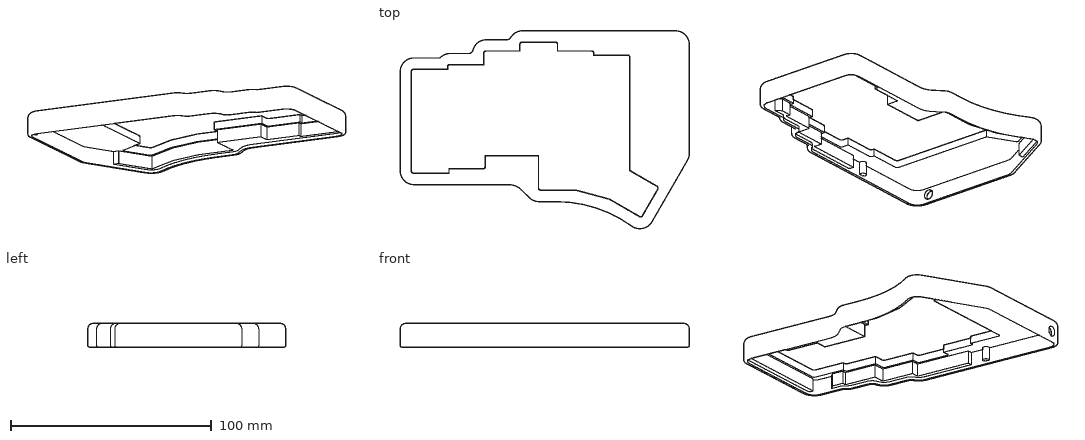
import cadquery as cq
import math

length = 144.0
height = 12.0
back_y = 76.7
thumb_wall_y = -8.45
tip_y = -21.92

corner_radius = 7.0
column_pitch = 18.0
back_wall_levels = [63.2, 65.4, 72.25, back_y]
step_foot_radii = [0.5, 2.0, 2.0]
front_bend_start_x = 54.1
front_bend_radius = 9.0
thumb_wall_start_x = 69.2
thumb_curve_start_x = 77.8
thumb_curve_radius = 63.75
thumb_side_angle = 60.0
top_edge_radius = 3.0
bottom_edge_radius = 1.0

plate_thickness = 4.0
key_margin = 0.25
first_column_x = 6.0
opening_corner_radius = 1.0
opening_chamfer = 0.2
opening_back_levels = [57.4, 59.7, 66.5, 70.9, 66.5, 64.4]
opening_front_levels = [5.85, 8.0, 14.5]
thumb_keys_x = 69.0
thumb_keys_y = -2.55
thumb_fan_angle = 15.0
thumb_fan_start_x = 87.4
thumb_fan_length = 17.4
thumb_side_rim = 5.75
thumb_key_depth = 17.2

cavity_clearance = 1.2
base_recess_depth = 1.5
outer_wall = 2.0
controller_bay_x = 89.4
controller_bay_front_y = -0.8
post_diameter = 3.5
post_x = 99.0
post_y = 73.8
corner_pocket_x = 16.35

jack_diameter = 5.0
jack_y = back_y - 10.1
jack_z = 4.4


def polar(center, radius, degrees):
    """Point on a circle, with the angle measured from +X."""
    angle = math.radians(degrees)
    return (center[0] + radius * math.cos(angle), center[1] + radius * math.sin(angle))


def arc_on(sketch, center, radius, start, end):
    """Extend the outline along a circle whose start angle is at the current point."""
    middle = polar(center, radius, (start + end) / 2)
    return sketch.threePointArc(middle, polar(center, radius, end))


def line_and_arc(sketch, center, radius, start, end):
    """Extend the outline straight to a circle, then along it."""
    return arc_on(sketch.lineTo(*polar(center, radius, start)), center, radius, start, end)


def back_step(sketch, index):
    """S-shaped step between two neighbouring levels of the back wall."""
    low, high = back_wall_levels[index], back_wall_levels[index + 1]
    foot = step_foot_radii[index]
    sweep = math.degrees(math.acos(1 - (high - low) / (foot + corner_radius)))
    crest_center = ((index + 1) * column_pitch + corner_radius, high - corner_radius)
    run = (foot + corner_radius) * math.sin(math.radians(sweep))
    foot_center = (crest_center[0] - run, low + foot)
    sketch = line_and_arc(sketch, foot_center, foot, -90, sweep - 90)
    return arc_on(sketch, crest_center, corner_radius, 90 + sweep, 90)


def thumb_tip_center():
    """Centre of the thumb tip, whose circle touches the hollow thumb curve."""
    rise = tip_y + corner_radius - (thumb_wall_y - thumb_curve_radius)
    run = math.sqrt((thumb_curve_radius + corner_radius) ** 2 - rise**2)
    return (thumb_curve_start_x + run, tip_y + corner_radius)


tip_center = thumb_tip_center()
side_normal = thumb_side_angle - 90


def outer_outline():
    r = corner_radius
    sketch = cq.Workplane("XY").moveTo(0, r)
    sketch = line_and_arc(sketch, (r, back_wall_levels[0] - r), r, 180, 90)
    for index in range(len(step_foot_radii)):
        sketch = back_step(sketch, index)
    sketch = line_and_arc(sketch, (length - r, back_y - r), r, 90, 0)

    tip_end = polar(tip_center, r, side_normal)
    reach = length - r + r * math.cos(math.radians(side_normal)) - tip_end[0]
    bend_y = tip_end[1] + reach * math.tan(math.radians(thumb_side_angle))
    bend_center = (length - r, bend_y - r * math.sin(math.radians(side_normal)))
    sketch = line_and_arc(sketch, bend_center, r, 0, side_normal)

    curve_center = (thumb_curve_start_x, thumb_wall_y - thumb_curve_radius)
    rise = tip_center[1] - curve_center[1]
    touch = math.degrees(math.asin(rise / (thumb_curve_radius + r)))
    sketch = line_and_arc(sketch, tip_center, r, side_normal, touch - 180)
    sketch = arc_on(sketch, curve_center, thumb_curve_radius, touch, 90)

    sketch = line_and_arc(sketch, (thumb_wall_start_x, thumb_wall_y + r), r, -90, -135)
    bend = (front_bend_start_x, -front_bend_radius)
    sketch = line_and_arc(sketch, bend, front_bend_radius, 45, 90)
    sketch = line_and_arc(sketch, (r, r), r, -90, -180)
    return sketch.close()


def opening_points():
    """Corners of the key opening; True marks the rounded ones."""
    left = [first_column_x + column_pitch * i - key_margin for i in range(4)]
    right = [first_column_x + column_pitch * i + key_margin for i in range(7)]
    back, front = opening_back_levels, opening_front_levels
    points = [(left[0], front[0], True), (left[0], back[0], True)]
    for i in range(1, 4):
        points += [(left[i], back[i - 1], False), (left[i], back[i], True)]
    for i in range(4, 6):
        points += [(right[i], back[i - 1], True), (right[i], back[i], False)]
    points.append((right[6], back[5], True))

    slope = math.radians(thumb_fan_angle)
    fan = (
        thumb_fan_start_x + thumb_fan_length * math.cos(slope),
        thumb_keys_y - thumb_fan_length * math.sin(slope),
    )
    side = polar(tip_center, corner_radius - thumb_side_rim, side_normal)
    along = (math.cos(math.radians(side_normal)), math.sin(math.radians(side_normal)))
    reach = (side[0] - fan[0]) * along[0] + (side[1] - fan[1]) * along[1]
    tip = (fan[0] + reach * along[0], fan[1] + reach * along[1])
    top = polar(tip, thumb_key_depth, thumb_side_angle)
    inner_run = top[0] - right[6]
    inner = (right[6], top[1] - inner_run * along[1] / along[0])
    points += [(*inner, False), (*top, True), (*tip, True), (*fan, False)]
    points += [(thumb_fan_start_x, thumb_keys_y, False), (thumb_keys_x, thumb_keys_y, True)]
    points += [(thumb_keys_x, front[2], False), (right[2], front[2], False)]
    points += [(right[2], front[1], True), (right[1], front[1], False), (right[1], front[0], False)]
    return points


def key_opening(bottom, top, growth=0.0):
    points = opening_points()
    outline = cq.Workplane("XY", origin=(0, 0, bottom)).polyline([p[:2] for p in points]).close()
    if growth:
        return outline.offset2D(growth, "intersection").extrude(top - bottom)
    block = outline.extrude(top - bottom)
    for x, y, rounded in points:
        if rounded:
            near = cq.selectors.BoxSelector((x - 0.1, y - 0.1, bottom - 1), (x + 0.1, y + 0.1, top + 1))
            block = block.edges("|Z").edges(near).fillet(opening_corner_radius)
    return block


plate_bottom = height - plate_thickness


def shell():
    """Solid block with rounded top and bottom outer edges."""
    block = outer_outline().extrude(height)
    block = block.faces(">Z").edges().fillet(top_edge_radius)
    return block.faces("<Z").edges().fillet(bottom_edge_radius)


def with_key_opening(block):
    """Open the plate over the keys and break the opening's top edge."""
    block = block.cut(key_opening(plate_bottom, height))
    rim = block.faces(">Z").val().innerWires()[0]
    return block.newObject(rim.Edges()).chamfer(opening_chamfer)


def inside_walls(top):
    """Space inside the outer walls, from the base up to the given height."""
    return outer_outline().offset2D(-outer_wall).extrude(top)


def base_recess():
    """Shallow recess that seats a base plate."""
    return inside_walls(base_recess_depth)


def rear_extension():
    """Carries the back of the fourth key column's cavity on to the controller bay."""
    front = opening_back_levels[-1]
    back = opening_back_levels[3] + cavity_clearance
    start = first_column_x + 3 * column_pitch
    block = cq.Workplane("XY").box(controller_bay_x - start, back - front, plate_bottom, centered=False)
    return block.translate((start, front, 0))


def controller_bay():
    """Deep bay under the solid right part of the plate, with a round post at the back."""
    width, depth = length - controller_bay_x, back_y - controller_bay_front_y
    block = cq.Workplane("XY").box(width, depth, plate_bottom, centered=False)
    block = block.translate((controller_bay_x, controller_bay_front_y, 0))
    post = cq.Workplane("XY", origin=(post_x, post_y, base_recess_depth))
    post = post.circle(post_diameter / 2).extrude(plate_bottom - base_recess_depth)
    return block.intersect(inside_walls(plate_bottom)).cut(post)


def corner_pocket():
    """Extra room in the rear left corner, ending in a 45 degree face."""
    front = opening_back_levels[0] + cavity_clearance
    depth = back_wall_levels[0] - front
    corners = [
        (0, front),
        (corner_pocket_x, front),
        (corner_pocket_x - depth, front + depth),
        (0, front + depth),
    ]
    block = cq.Workplane("XY").polyline(corners).close().extrude(plate_bottom)
    return block.intersect(inside_walls(plate_bottom))


def jack_hole():
    start = cq.Workplane("YZ", origin=(length - 2 * outer_wall, jack_y, jack_z))
    return start.circle(jack_diameter / 2).extrude(3 * outer_wall)


hollows = [
    key_opening(0, plate_bottom, cavity_clearance),
    base_recess(),
    rear_extension(),
    controller_bay(),
    corner_pocket(),
    jack_hole(),
]
result = with_key_opening(shell())
for hollow in hollows:
    result = result.cut(hollow)